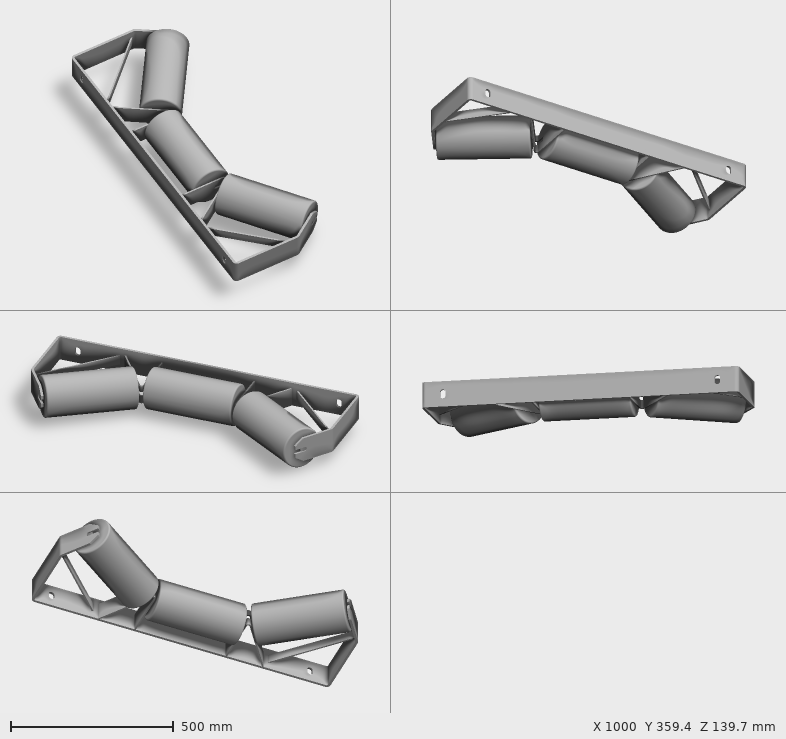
import cadquery as cq
import math

frame_length = 1000.0
bar_height = 80.0
frame_thickness = 8.0
side_bend_y = 227.0
arm_length = 137.0
corner_radius = 13.0
side_bend_radius = 18.0
tip_chamfer_along = 30.0
tip_chamfer_height = 20.0
mount_slot_spacing = 866.0
mount_slot_width = 18.0
mount_slot_height = 28.0

trough_angle = 35.0
pitch_angle = 1.3
roller_diameter = 133.0
roller_length = 291.0
roller_edge = 5.0
shaft_diameter = 20.0
shaft_flats = 14.0
roller_gap = 5.0
middle_roller_y = 122.0
middle_roller_z = -6.8
side_roller_x = 310.8
side_roller_y = 223.47
side_roller_z = -3.3

support_height = 60.0
bracket_thickness = 5.0
bracket_bend_radius = 10.0
brace_thickness = 5.0
brace_top_y = 217.0
brace_foot_x = 292.5
brace_height = 30.0

half_length = frame_length / 2
wall_inside_x = half_length - frame_thickness
trough = math.radians(trough_angle)
pitch = math.radians(pitch_angle)
leg_direction = (math.sin(trough), math.cos(trough))
inner_reach = roller_length / 2 + roller_gap
outer_reach = (
    (half_length - side_roller_x) * math.cos(trough)
    + (side_roller_y - side_bend_y) * math.sin(trough)
) / math.cos(pitch)


def bar_on_edge(points, height, bottom=-bar_height / 2):
    return cq.Workplane("XY").workplane(offset=bottom).polyline(points).close().extrude(height)


def round_corner(body, point, radius):
    selector = cq.NearestToPointSelector((point[0], point[1], 0))
    return body.edges("|Z").edges(selector).fillet(radius)


def mirrored(body):
    return body.mirror("YZ")


middle_plane = cq.Plane(
    origin=(0, middle_roller_y, middle_roller_z),
    xDir=(0, 1, 0),
    normal=(1, 0, 0),
)
left_plane = cq.Plane(
    origin=(-side_roller_x, side_roller_y, side_roller_z),
    xDir=(*leg_direction, 0),
    normal=(
        math.cos(trough) * math.cos(pitch),
        -math.sin(trough) * math.cos(pitch),
        -math.sin(pitch),
    ),
)


def flatted_shaft(plane, start, end):
    shaft = cq.Workplane(plane).workplane(offset=start).circle(shaft_diameter / 2).extrude(end - start)
    flats = (
        cq.Workplane(plane)
        .workplane(offset=start)
        .rect(shaft_diameter, shaft_flats)
        .extrude(end - start)
    )
    return shaft.intersect(flats)


def shaft_slot(plane, start, end, opening):
    seat = flatted_shaft(plane, start, end)
    throat = (
        cq.Workplane(plane)
        .workplane(offset=start)
        .center(opening / 2, 0)
        .rect(opening, shaft_flats)
        .extrude(end - start)
    )
    return seat.union(throat)


def roller(plane, shaft_start, shaft_end):
    shell = (
        cq.Workplane(plane)
        .workplane(offset=-roller_length / 2)
        .circle(roller_diameter / 2)
        .extrude(roller_length)
        .edges("%CIRCLE")
        .fillet(roller_edge)
    )
    return shell.union(flatted_shaft(plane, shaft_start, shaft_end))


shaft_inner_end = inner_reach + bracket_thickness
middle_roller = roller(middle_plane, -shaft_inner_end, shaft_inner_end)
left_roller = roller(left_plane, -outer_reach, shaft_inner_end)


def frame_body():
    miter = frame_thickness * math.tan(trough / 2)
    bend_outside = (-half_length, side_bend_y)
    bend_inside = (-wall_inside_x, side_bend_y - miter)
    tip_outside = (
        bend_outside[0] + arm_length * leg_direction[0],
        bend_outside[1] + arm_length * leg_direction[1],
    )
    tip_inside = (
        tip_outside[0] + frame_thickness * math.cos(trough),
        tip_outside[1] - frame_thickness * math.sin(trough),
    )
    left_half = [
        (0, 0),
        (-half_length, 0),
        bend_outside,
        tip_outside,
        tip_inside,
        bend_inside,
        (-wall_inside_x, frame_thickness),
        (0, frame_thickness),
    ]
    half = bar_on_edge(left_half, bar_height)
    for outside, inside, radius in [
        (bend_outside, bend_inside, side_bend_radius),
        ((-half_length, 0), (-wall_inside_x, frame_thickness), corner_radius),
    ]:
        half = round_corner(half, outside, radius)
        half = round_corner(half, inside, radius - frame_thickness)

    tip_plane = cq.Plane(
        origin=(*tip_outside, 0),
        xDir=(*leg_direction, 0),
        normal=(leg_direction[1], -leg_direction[0], 0),
    )
    for side in (-1, 1):
        corner = (
            cq.Workplane(tip_plane)
            .polyline([
                (0, side * bar_height / 2),
                (-tip_chamfer_along, side * bar_height / 2),
                (0, side * (bar_height / 2 - tip_chamfer_height)),
            ])
            .close()
            .extrude(frame_thickness)
        )
        half = half.cut(corner)

    slot_start = -outer_reach - frame_thickness
    half = half.cut(shaft_slot(left_plane, slot_start, -roller_length / 2, arm_length))
    mount_slot = (
        cq.Workplane("XZ")
        .center(-mount_slot_spacing / 2, 0)
        .slot2D(mount_slot_height, mount_slot_width, 90)
        .extrude(-frame_thickness)
    )
    half = half.cut(mount_slot)
    return half.union(mirrored(half))


def bracket_body():
    face_x = -side_roller_x + inner_reach * math.cos(trough)
    face_y = side_roller_y - inner_reach * math.sin(trough)
    run = math.tan(trough)
    lean_width = bracket_thickness / math.cos(trough)

    def lean_x(y):
        return face_x + (y - face_y) * run

    def lean_y(x):
        return face_y + (x - face_x) / run

    foot_y = frame_thickness
    inside_x = -inner_reach - bracket_thickness
    apex = (-inner_reach, lean_y(-inner_reach))
    inner_apex = (inside_x, lean_y(inside_x - lean_width))
    bracket = bar_on_edge(
        [
            (-inner_reach, foot_y),
            apex,
            (lean_x(foot_y), foot_y),
            (lean_x(foot_y) + lean_width, foot_y),
            inner_apex,
            (inside_x, foot_y),
        ],
        support_height,
    )
    bracket = round_corner(bracket, apex, bracket_bend_radius)
    bracket = round_corner(bracket, inner_apex, bracket_bend_radius - bracket_thickness)
    opening = roller_diameter / 2
    slot_end = inner_reach + bracket_bend_radius
    bracket = bracket.cut(shaft_slot(middle_plane, -slot_end, -roller_length / 2, opening))
    return bracket.cut(shaft_slot(left_plane, roller_length / 2, slot_end, opening))


def brace_body():
    rise = brace_top_y - frame_thickness
    run = wall_inside_x - brace_foot_x
    length = math.hypot(run, rise)
    return bar_on_edge(
        [
            (-wall_inside_x, brace_top_y),
            (-brace_foot_x, frame_thickness),
            (-brace_foot_x - brace_thickness * length / rise, frame_thickness),
            (-wall_inside_x, brace_top_y - brace_thickness * length / run),
        ],
        brace_height,
        -brace_height / 2,
    )


frame = frame_body()
left_bracket = bracket_body()
left_brace = brace_body()

bodies = [frame.val(), middle_roller.val()]
for left_body in (left_roller, left_bracket, left_brace):
    bodies += [left_body.val(), mirrored(left_body).val()]

result = cq.Compound.makeCompound(bodies)